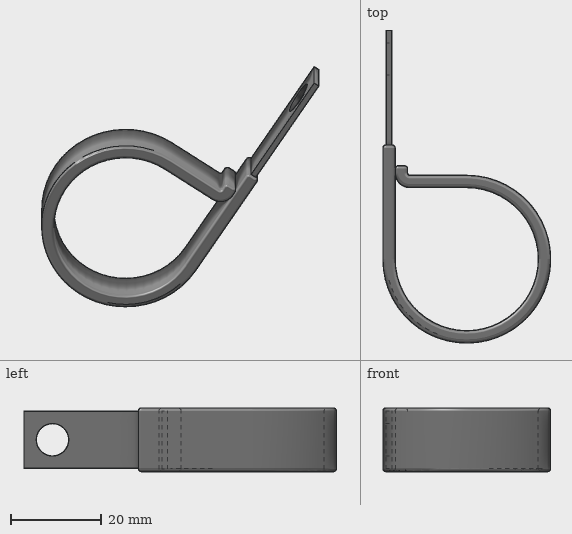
import cadquery as cq
import math


loop_bore_radius = 15.875
band_thickness = 1.25
band_width = 12.7
cushion_wall = 0.76
strap_end_y = 50.795
cushion_end_y = 25.4
hole_diameter = 7.14
hole_end_distance = 6.35
lip_bend_inner_radius = 0.5
lip_straight_length = 1.65
lip_overlap = 0.01

cushion_thickness = band_thickness + 2 * cushion_wall
cushion_width = band_width + 2 * cushion_wall
loop_radius = loop_bore_radius + cushion_thickness / 2
outer_radius = loop_radius + cushion_thickness / 2
strap_x = -loop_radius
strap_start_y = cushion_end_y / 2
lip_bend_radius = lip_bend_inner_radius + cushion_thickness / 2
lip_bend_outer_radius = lip_bend_inner_radius + cushion_thickness
lip_x = strap_x + cushion_thickness - lip_overlap
lip_left_x = lip_x - cushion_thickness / 2
lip_right_x = lip_x + cushion_thickness / 2
lip_bend_x = lip_x + lip_bend_radius
lip_bend_y = loop_radius + lip_bend_radius
lip_end_y = lip_bend_y + lip_straight_length


def arc_point(center, radius, angle_degrees):
    """Point on a circle at an angle measured from +X."""
    angle = math.radians(angle_degrees)
    return (center[0] + radius * math.cos(angle), center[1] + radius * math.sin(angle))


def round_cushion(outline):
    """Extrude a cushion outline along Z and round its top, bottom and free end."""
    body = outline.close().extrude(cushion_width / 2, both=True)
    joint = cq.selectors.BoxSelector(
        (loop_radius - cushion_wall, -cushion_wall, -cushion_width),
        (loop_radius + cushion_wall, cushion_wall, cushion_width),
    )
    return body.faces("|Z or >Y").edges(-joint).fillet(cushion_wall)


def make_strap_cushion():
    """Lower half of the loop and the straight cushion around the strap."""
    outline = (
        cq.Workplane("XY")
        .moveTo(outer_radius, 0)
        .threePointArc((0, -outer_radius), (-outer_radius, 0))
        .lineTo(-outer_radius, cushion_end_y)
        .lineTo(-loop_bore_radius, cushion_end_y)
        .lineTo(-loop_bore_radius, 0)
        .threePointArc((0, -loop_bore_radius), (loop_bore_radius, 0))
    )
    return round_cushion(outline)


def make_lip_cushion():
    """Upper right quarter of the loop, the straight leg and the turned-up lip."""
    loop_center = (0, 0)
    loop_mid_angle = 45
    bend_center = (lip_bend_x, lip_bend_y)
    bend_mid_angle = 225
    bend_inner_middle = arc_point(bend_center, lip_bend_inner_radius, bend_mid_angle)
    bend_outer_middle = arc_point(bend_center, lip_bend_outer_radius, bend_mid_angle)
    outline = (
        cq.Workplane("XY")
        .moveTo(outer_radius, 0)
        .threePointArc(arc_point(loop_center, outer_radius, loop_mid_angle), (0, outer_radius))
        .lineTo(lip_bend_x, outer_radius)
        .threePointArc(bend_inner_middle, (lip_right_x, lip_bend_y))
        .lineTo(lip_right_x, lip_end_y)
        .lineTo(lip_left_x, lip_end_y)
        .lineTo(lip_left_x, lip_bend_y)
        .threePointArc(bend_outer_middle, (lip_bend_x, loop_bore_radius))
        .lineTo(0, loop_bore_radius)
        .threePointArc(arc_point(loop_center, loop_bore_radius, loop_mid_angle), (loop_bore_radius, 0))
    )
    return round_cushion(outline)


def make_strap():
    """Flat metal strap with its mounting hole, passing through along X."""
    strap_length = strap_end_y - strap_start_y
    strap_center = (strap_x, strap_start_y + strap_length / 2, 0)
    strap = cq.Workplane("XY", origin=strap_center).box(band_thickness, strap_length, band_width)
    hole = (
        cq.Workplane("YZ", origin=(strap_x, strap_end_y - hole_end_distance, 0))
        .circle(hole_diameter / 2)
        .extrude(band_thickness, both=True)
    )
    return strap.cut(hole)


result = make_strap_cushion().union(make_lip_cushion()).union(make_strap())